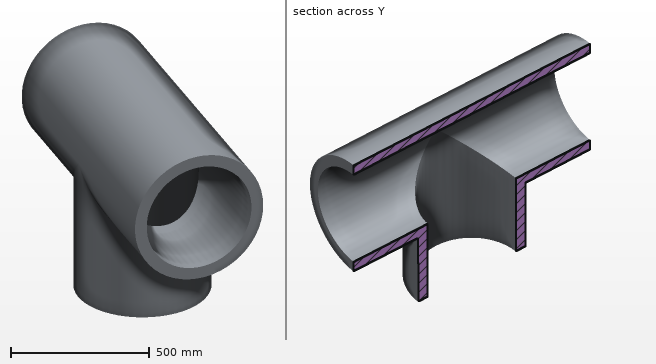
import cadquery as cq

run_length = 1100.0
total_height = 800.0
outer_diameter = 500.0
bore_diameter = 409.0

branch_reach = total_height - outer_diameter / 2


def tee_volume(diameter):
    """Solid run and branch cylinders of one diameter, joined at the origin."""
    radius = diameter / 2
    run = cq.Workplane("YZ").circle(radius).extrude(run_length / 2, both=True)
    branch = cq.Workplane("XY").circle(radius).extrude(-branch_reach)
    return run.union(branch)


result = tee_volume(outer_diameter).cut(tee_volume(bore_diameter))